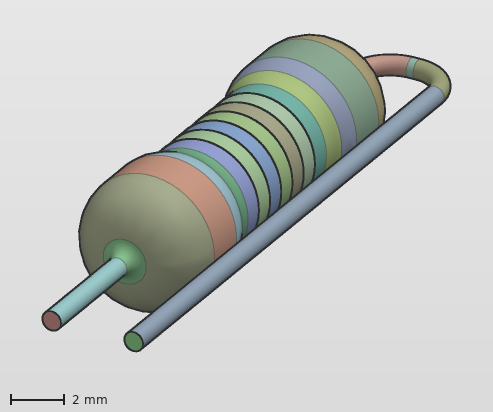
import cadquery as cq
import math


LEAD_RADIUS = 0.4
LEAD_PITCH = 3.5
FRONT_LEAD_LENGTH = 5.04
REAR_STUB_LENGTH = 0.45
BEND_RADIUS = 1.6

CAP_RADIUS = 5.5 / 2
BARREL_RADIUS = 4.67 / 2
BAND_RADIUS = 4.7 / 2
DOME_RADIUS = 1.95
NECK_FILLET_RADIUS = 0.55
CAP_LENGTH = 1.7
SHOULDER_LENGTH = 1.6
SHOULDER_STEP = CAP_RADIUS - BAND_RADIUS

BAND_COUNT = 4
BAND_WIDTH = 0.86
BAND_PITCH = 2 * BAND_WIDTH

BARREL_END = ((BAND_COUNT - 1) * BAND_PITCH + BAND_WIDTH) / 2
CAP_START = BARREL_END + SHOULDER_LENGTH
DOME_START = CAP_START + CAP_LENGTH

DOME_CENTRE_X = CAP_RADIUS - DOME_RADIUS
NECK_CENTRE_X = LEAD_RADIUS + NECK_FILLET_RADIUS
CENTRE_DISTANCE = DOME_RADIUS + NECK_FILLET_RADIUS
TOUCH_ANGLE = math.acos((NECK_CENTRE_X - DOME_CENTRE_X) / CENTRE_DISTANCE)
NECK_END = DOME_START + CENTRE_DISTANCE * math.sin(TOUCH_ANGLE)

LEAD_TIP = -NECK_END - FRONT_LEAD_LENGTH
BEND_START = NECK_END + REAR_STUB_LENGTH
BEND_TOP = BEND_START + BEND_RADIUS


def cylinder_along_y(radius, start, length):
    """Cylinder on the body axis, running toward +Y from start."""
    return cq.Workplane("XZ", origin=(0, start, 0)).circle(radius).extrude(-length)


def make_barrel():
    """Plain barrel with its raised bands."""
    barrel = cylinder_along_y(BARREL_RADIUS, -BARREL_END, 2 * BARREL_END)
    for index in range(BAND_COUNT):
        band_start = -BARREL_END + index * BAND_PITCH
        barrel = barrel.union(cylinder_along_y(BAND_RADIUS, band_start, BAND_WIDTH))
    return barrel


def make_rear_end():
    """S-curved shoulder, cap, dome and neck at the +Y end of the barrel."""
    shoulder_middle = ((BAND_RADIUS + CAP_RADIUS) / 2, BARREL_END + SHOULDER_LENGTH / 2)
    shoulder_radius = (SHOULDER_LENGTH**2 + SHOULDER_STEP**2) / (4 * SHOULDER_STEP)
    dome_end = (
        DOME_CENTRE_X + DOME_RADIUS * math.cos(TOUCH_ANGLE),
        DOME_START + DOME_RADIUS * math.sin(TOUCH_ANGLE),
    )
    profile = (
        cq.Workplane("XY")
        .moveTo(0, BARREL_END)
        .lineTo(BAND_RADIUS, BARREL_END)
        .radiusArc(shoulder_middle, shoulder_radius)
        .radiusArc((CAP_RADIUS, CAP_START), -shoulder_radius)
        .lineTo(CAP_RADIUS, DOME_START)
        .radiusArc(dome_end, -DOME_RADIUS)
        .radiusArc((LEAD_RADIUS, NECK_END), NECK_FILLET_RADIUS)
        .lineTo(0, NECK_END)
        .close()
    )
    return profile.revolve(360, (0, 0), (0, 1))


def make_bent_lead():
    """Rear lead: stub, two quarter bends with a short straight between, long return run."""
    bend_offset = BEND_RADIUS * math.sqrt(0.5)
    near_centre_x = BEND_RADIUS
    far_centre_x = LEAD_PITCH - BEND_RADIUS
    path = (
        cq.Workplane("XY")
        .moveTo(0, NECK_END)
        .lineTo(0, BEND_START)
        .threePointArc((near_centre_x - bend_offset, BEND_START + bend_offset), (near_centre_x, BEND_TOP))
        .lineTo(far_centre_x, BEND_TOP)
        .threePointArc((far_centre_x + bend_offset, BEND_START + bend_offset), (LEAD_PITCH, BEND_START))
        .lineTo(LEAD_PITCH, LEAD_TIP)
    )
    return cq.Workplane("XZ", origin=(0, NECK_END, 0)).circle(LEAD_RADIUS).sweep(path)


rear_end = make_rear_end()
front_end = rear_end.mirror("XZ")
front_lead = cylinder_along_y(LEAD_RADIUS, LEAD_TIP, FRONT_LEAD_LENGTH)

result = make_barrel().union(rear_end).union(front_end).union(front_lead).union(make_bent_lead())